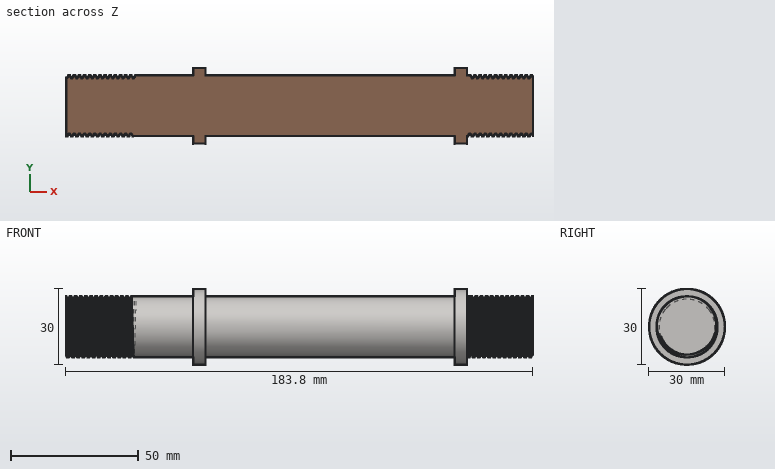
import cadquery as cq

length = 183.8
shaft_diameter = 24.0
collar_diameter = 30.0
collar_width = 5.0
left_collar_start = 50.0
right_collar_start = 152.9

pitch = 2.0
groove_depth = 1.1
groove_mouth = 1.5
groove_floor = 0.2
cut_overlap = 0.2
end_allowance = 5.5
left_thread_end = 27.0
thread_turns = 14
right_thread_offset = 0.5

shaft_radius = shaft_diameter / 2
left_thread_start = left_thread_end - thread_turns * pitch
right_thread_start = right_collar_start + collar_width + right_thread_offset


def cylinder(start, width, diameter):
    """Round section along +X."""
    return cq.Workplane("YZ", origin=(start, 0, 0)).circle(diameter / 2).extrude(width)


def thread_groove(start):
    """Helical cutter whose first and last sections lie at the top of the shaft."""
    root_radius = shaft_radius - groove_depth
    outer_radius = shaft_radius + cut_overlap
    slope = (groove_mouth - groove_floor) / 2 / groove_depth
    half_floor = groove_floor / 2
    half_outer = groove_mouth / 2 + slope * cut_overlap
    helix = cq.Wire.makeHelix(pitch, thread_turns * pitch, shaft_radius)
    cutter = (
        cq.Workplane("XZ")
        .polyline([
            (root_radius, -half_floor),
            (outer_radius, -half_outer),
            (outer_radius, half_outer),
            (root_radius, half_floor),
        ])
        .close()
        .sweep(cq.Workplane(obj=helix), isFrenet=True)
    )
    cutter = cutter.rotate((0, 0, 0), (0, 1, 0), 90)
    cutter = cutter.rotate((0, 0, 0), (1, 0, 0), 180)
    return cutter.translate((start, 0, 0))


shaft = cylinder(0, length + end_allowance, shaft_diameter)

for thread_start in (left_thread_start, right_thread_start):
    shaft = shaft.cut(thread_groove(thread_start))

shaft = shaft.intersect(cylinder(0, length, collar_diameter))

for collar_start in (left_collar_start, right_collar_start):
    shaft = shaft.union(cylinder(collar_start, collar_width, collar_diameter))

result = shaft